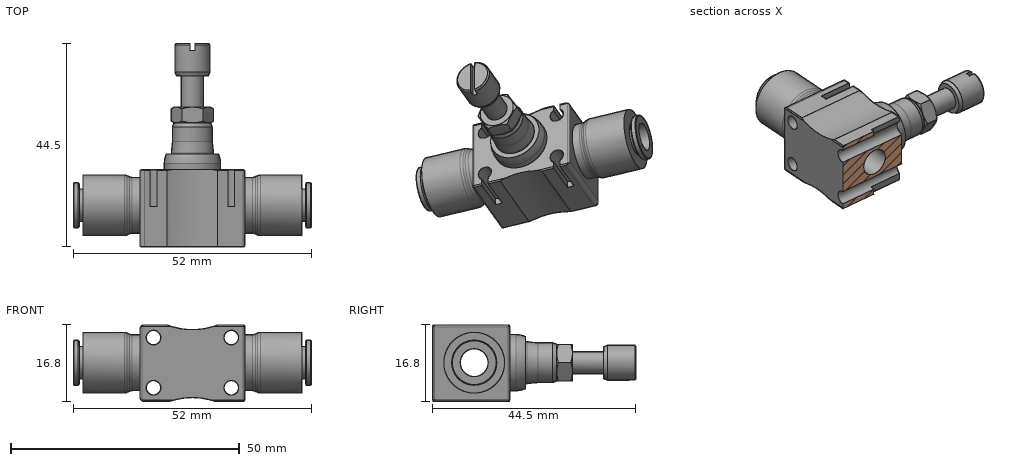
import cadquery as cq
import math


block_length = 23.0
block_height = 16.75
block_top_z = 8.25
block_middle_z = block_top_z - block_height / 2
block_front_y = -9.1
block_back_y = 7.8
block_depth = block_back_y - block_front_y
block_middle_y = (block_front_y + block_back_y) / 2
left_edge_radius = 1.0
edge_radius = 0.45
rim_chamfer_y = 0.15
rim_chamfer_z = 0.35
scoop_radius = 15.15
top_scoop_depth = 1.05
bottom_scoop_depth = 0.85

hole_diameter = 3.1
hole_spacing_x = 17.0
hole_spacing_z = 10.95
slot_width = 1.5
slot_length = 8.0

overall_length = 52.0
port_end_x = overall_length / 2
bore_diameter = 6.05
collet_radius = 4.95
collet_thickness = 1.3
collet_outer_chamfer = 0.15
collet_inner_chamfer = 0.25
collet_neck_radius = 3.6
sleeve_radius = 6.65
sleeve_end_x = 23.9
port_neck_radius = 6.15
port_neck_end_x = 13.15
taper_arc_length = 0.6
taper_arc_rise = 0.15
taper_straight_length = 0.45

boss_radius = 6.2
boss_top_radius = 5.7
boss_arc_start_y = 9.15
boss_top_y = 11.25
collar_radius = 4.65
collar_top_y = 11.5
barrel_radius = 4.35
barrel_start_y = 14.0
barrel_shoulder_y = 17.15
barrel_top_radius = 4.05
nut_start_y = 18.0
nut_end_y = 21.55
nut_across_flats = 8.0
nut_face_radius = 3.9
nut_chamfer_angle = 30.0
rod_radius = 2.45
knob_radius = 3.85
knob_start_y = 28.3
knob_end_y = 35.4
knob_bottom_radius = 3.5
knob_bottom_chamfer_length = 0.85
knob_top_chamfer = 0.3
screwdriver_slot_width = 1.05
screwdriver_slot_depth = 1.55


def make_scoop(floor_z, side):
    """Cylinder along Y that touches floor_z and lies outwards of it (side is 1 up, -1 down)."""
    return (
        cq.Workplane("XZ")
        .center(0, floor_z + side * scoop_radius)
        .circle(scoop_radius)
        .extrude(block_depth, both=True)
    )


def make_block():
    """Block with rounded and chamfered edges and a shallow scoop along its top and bottom."""
    box = cq.Workplane("XY").box(block_length, block_depth, block_height)
    rounded_along_y = (
        box.edges("|Y and <X").fillet(left_edge_radius).edges("|Y and >X").fillet(edge_radius)
    )
    rounded_along_z = box.edges("|Z").fillet(edge_radius)

    half_depth = block_depth / 2
    half_height = block_height / 2
    shoulder_y = half_depth - rim_chamfer_y
    shoulder_z = half_height - rim_chamfer_z
    section = [
        (half_depth, -shoulder_z),
        (half_depth, shoulder_z),
        (shoulder_y, half_height),
        (-shoulder_y, half_height),
        (-half_depth, shoulder_z),
        (-half_depth, -shoulder_z),
        (-shoulder_y, -half_height),
        (shoulder_y, -half_height),
    ]
    chamfered_along_x = cq.Workplane("YZ").polyline(section).close().extrude(block_length, both=True)

    block = rounded_along_y.intersect(rounded_along_z).intersect(chamfered_along_x)
    block = block.translate((0, block_middle_y, block_middle_z))
    bottom_z = block_top_z - block_height
    top_scoop = make_scoop(block_top_z - top_scoop_depth, 1)
    bottom_scoop = make_scoop(bottom_z + bottom_scoop_depth, -1)
    return block.cut(top_scoop).cut(bottom_scoop)


def make_mounting_cuts():
    """Four through holes along Y, each opened by a slot to the nearest Z face."""
    cuts = (
        cq.Workplane("XZ")
        .rect(hole_spacing_x, hole_spacing_z, forConstruction=True)
        .vertices()
        .circle(hole_diameter / 2)
        .extrude(block_depth, both=True)
    )
    slot_middle_y = block_back_y - slot_length / 2
    for side in (1, -1):
        slots = (
            cq.Workplane("XY", origin=(0, slot_middle_y, side * hole_spacing_z / 2))
            .rarray(hole_spacing_x, 0.5, 2, 1)
            .rect(slot_width, slot_length)
            .extrude(side * block_height / 2)
        )
        cuts = cuts.union(slots)
    return cuts


def make_port():
    """Sleeve with its release collet on the +X side, turned about the X axis."""
    collet_inner_x = port_end_x - collet_thickness
    cone_start_x = port_neck_end_x + taper_arc_length
    cone_end_x = cone_start_x + taper_straight_length
    sleeve_start_x = cone_end_x + taper_arc_length
    return (
        cq.Workplane("XY")
        .lineTo(0, port_neck_radius)
        .lineTo(port_neck_end_x, port_neck_radius)
        .tangentArcPoint((cone_start_x, port_neck_radius + taper_arc_rise), relative=False)
        .lineTo(cone_end_x, sleeve_radius - taper_arc_rise)
        .tangentArcPoint((sleeve_start_x, sleeve_radius), relative=False)
        .lineTo(sleeve_end_x, sleeve_radius)
        .lineTo(sleeve_end_x, collet_neck_radius)
        .lineTo(collet_inner_x, collet_neck_radius)
        .lineTo(collet_inner_x, collet_radius - collet_inner_chamfer)
        .lineTo(collet_inner_x + collet_inner_chamfer, collet_radius)
        .lineTo(port_end_x - collet_outer_chamfer, collet_radius)
        .lineTo(port_end_x, collet_radius - collet_outer_chamfer)
        .lineTo(port_end_x, 0)
        .close()
        .revolve(360, (0, 0, 0), (1, 0, 0))
    )


def make_nut():
    """Hexagonal lock nut with both ends chamfered, two corners on the X direction."""
    corner_radius = nut_across_flats / 2 / math.cos(math.radians(30))
    chamfer_length = (corner_radius - nut_face_radius) * math.tan(math.radians(nut_chamfer_angle))
    hexagon = (
        cq.Workplane("XZ", origin=(0, nut_end_y, 0))
        .polygon(6, 2 * corner_radius)
        .extrude(nut_end_y - nut_start_y)
    )
    envelope = (
        cq.Workplane("XY")
        .moveTo(0, nut_start_y)
        .lineTo(nut_face_radius, nut_start_y)
        .lineTo(corner_radius, nut_start_y + chamfer_length)
        .lineTo(corner_radius, nut_end_y - chamfer_length)
        .lineTo(nut_face_radius, nut_end_y)
        .lineTo(0, nut_end_y)
        .close()
        .revolve(360, (0, 0, 0), (0, 1, 0))
    )
    return hexagon.intersect(envelope)


def make_stem():
    """Boss, barrel, rod and slotted knob turned about the Y axis, with the lock nut."""
    turned = (
        cq.Workplane("XY")
        .lineTo(boss_radius, 0)
        .lineTo(boss_radius, boss_arc_start_y)
        .tangentArcPoint((boss_top_radius, boss_top_y), relative=False)
        .lineTo(collar_radius, boss_top_y)
        .lineTo(collar_radius, collar_top_y)
        .lineTo(barrel_radius, barrel_start_y)
        .lineTo(barrel_radius, barrel_shoulder_y)
        .lineTo(barrel_top_radius, nut_start_y)
        .lineTo(rod_radius, nut_start_y)
        .lineTo(rod_radius, knob_start_y)
        .lineTo(knob_bottom_radius, knob_start_y)
        .lineTo(knob_radius, knob_start_y + knob_bottom_chamfer_length)
        .lineTo(knob_radius, knob_end_y - knob_top_chamfer)
        .lineTo(knob_radius - knob_top_chamfer, knob_end_y)
        .lineTo(0, knob_end_y)
        .close()
        .revolve(360, (0, 0, 0), (0, 1, 0))
    )
    screwdriver_slot = cq.Workplane("XY").box(
        screwdriver_slot_width, 2 * screwdriver_slot_depth, 2 * knob_radius
    ).translate((0, knob_end_y, 0))
    return turned.cut(screwdriver_slot).union(make_nut())


port = make_port()
bore = cq.Workplane("YZ").circle(bore_diameter / 2).extrude(port_end_x, both=True)

result = (
    make_block()
    .union(make_stem())
    .union(port)
    .union(port.mirror("YZ"))
    .cut(make_mounting_cuts())
    .cut(bore)
)